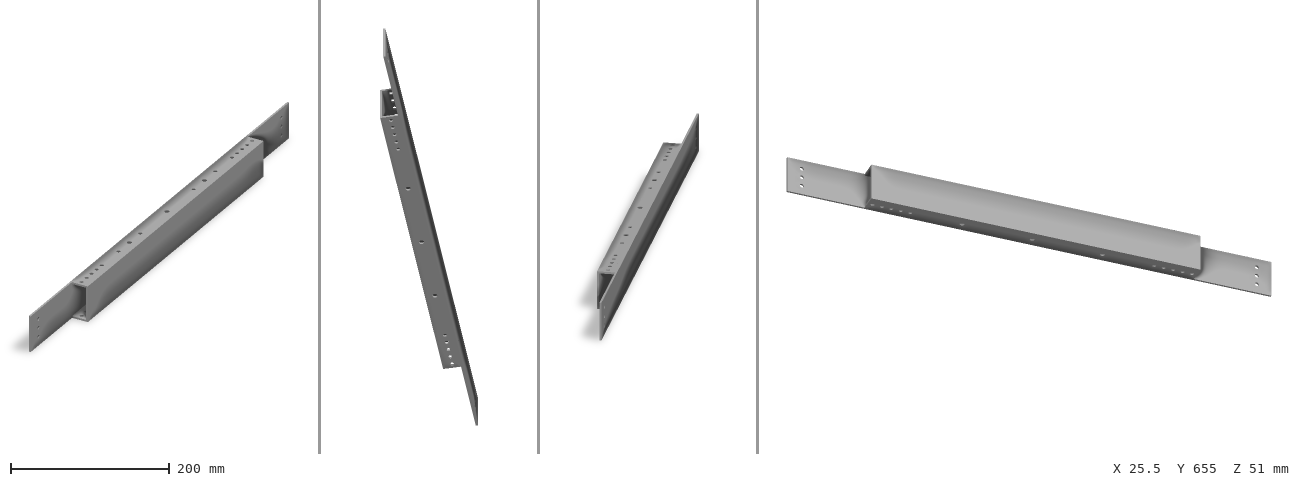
import cadquery as cq

plate_length = 655.0
tube_length = 445.5
width = 25.5
height = 51.0
wall = 2.5

small_hole = 5.1
large_hole = 6.5
hole_pitch = height / 4
end_row_count = 5
end_row_center = 191.0
group_center = 95.0
mount_offset = 27.5
plate_hole_inset = 19.5
plate_column_count = 3


def row(center, count, pitch):
    """Evenly spaced positions, symmetric about center."""
    return [center + (i - (count - 1) / 2) * pitch for i in range(count)]


def vertical_holes(y_positions, diameter, bottom):
    """Cylinders on the tube's centerline from the height `bottom` up through the top wall."""
    return (
        cq.Workplane("XY", origin=(0, 0, bottom))
        .pushPoints([(0, y) for y in y_positions])
        .circle(diameter / 2)
        .extrude(height)
    )


def make_tube():
    """Rectangular tube along Y, open at both ends."""
    outer = cq.Workplane("XY").box(width, tube_length, height)
    bore = cq.Workplane("XY").box(width - 2 * wall, tube_length, height - 2 * wall)
    return outer.cut(bore)


def make_side_plate():
    """The -X wall, running past both ends of the tube."""
    plate_x = -(width - wall) / 2
    return cq.Workplane("XY").box(wall, plate_length, height).translate((plate_x, 0, 0))


def plate_holes():
    """A column of holes near each end of the side plate."""
    column_y = plate_length / 2 - plate_hole_inset
    points = [(y, z) for y in (-column_y, column_y) for z in row(0, plate_column_count, hole_pitch)]
    return (
        cq.Workplane("YZ", origin=(-width / 2, 0, 0))
        .pushPoints(points)
        .circle(small_hole / 2)
        .extrude(wall)
    )


end_rows = row(-end_row_center, end_row_count, hole_pitch) + row(end_row_center, end_row_count, hole_pitch)
large_positions = [-group_center, 0, group_center]
mount_positions = [
    side * group_center + offset
    for side in (-1, 1)
    for offset in (-mount_offset, mount_offset)
]

result = (
    make_tube()
    .union(make_side_plate())
    .cut(vertical_holes(end_rows, small_hole, -height / 2))
    .cut(vertical_holes(large_positions, large_hole, -height / 2))
    .cut(vertical_holes(mount_positions, small_hole, 0))
    .cut(plate_holes())
)